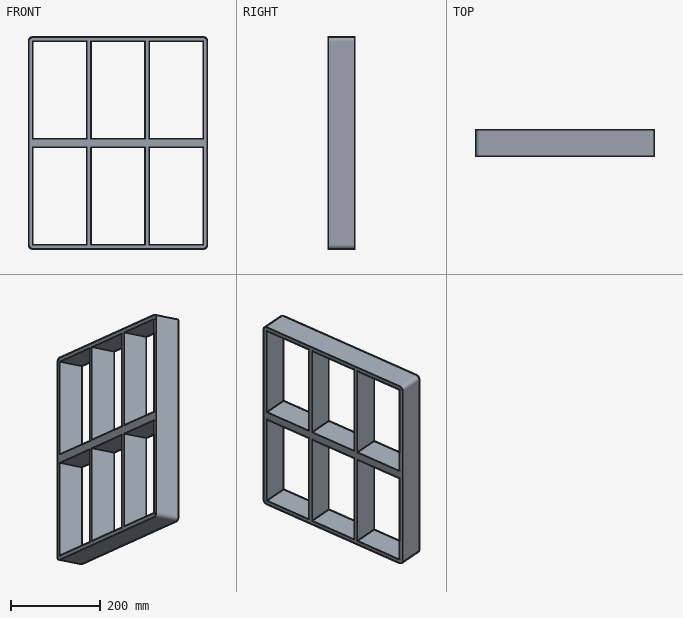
import cadquery as cq

width = 401.5
depth = 60.0
height = 476.0
corner_radius = 10.0

rim = 10.0
post_width = 10.0
rail_height = 20.0
columns = 3
rows = 2

window_width = (width - 2 * rim - (columns - 1) * post_width) / columns
window_height = (height - 2 * rim - (rows - 1) * rail_height) / rows
column_pitch = window_width + post_width
row_pitch = window_height + rail_height


def make_frame():
    """Solid block with rounded corners running along Y."""
    block = cq.Workplane("XY").box(width, depth, height)
    return block.edges("|Y").fillet(corner_radius)


def cut_windows(body):
    """Cut the sharp-cornered grid of windows through the full depth."""
    windows = (
        cq.Workplane("XY")
        .rarray(column_pitch, 1, columns, 1)
        .box(window_width, depth, window_height)
    )
    for row in range(rows):
        row_center = (row - (rows - 1) / 2) * row_pitch
        body = body.cut(windows.translate((0, 0, row_center)))
    return body


result = cut_windows(make_frame())